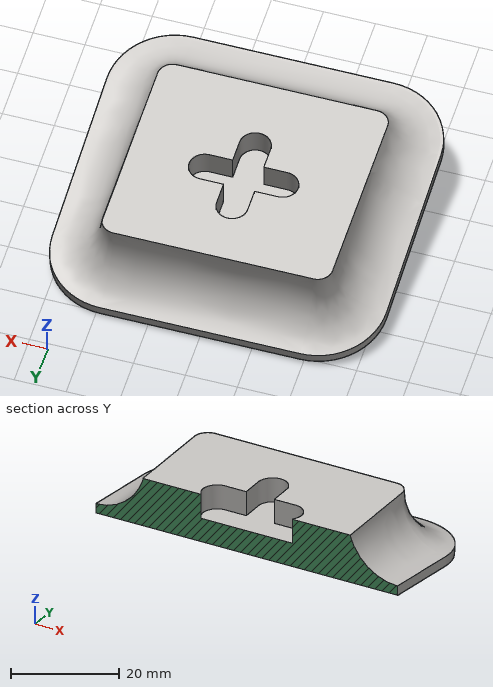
import cadquery as cq
import math

tilt = 6.6
slab_width = 64.35
slab_thickness = 2.0
slab_corner_radius = 12.9
overall_depth = 61.25
overall_height = 13.5

margin = 10.05
cove_radius = 10.55
cove_sections = 6

cross_span = 21.0
cross_arm_width = 6.0
cross_depth = 5.0
cross_offset_y = 2.1

sin_tilt = math.sin(math.radians(tilt))
cos_tilt = math.cos(math.radians(tilt))
slab_length = (overall_depth - slab_thickness * sin_tilt) / cos_tilt
half_width = slab_width / 2
half_length = slab_length / 2
corner_x = half_width - slab_corner_radius
corner_y = half_length - slab_corner_radius
pad_corner_radius = slab_corner_radius - margin
pad_level = overall_height - half_length * sin_tilt


def pad_height(y):
    """Height of the pad top above the slab's top face."""
    return (pad_level + y * sin_tilt) / cos_tilt - slab_thickness


def cove_run(height):
    """Distance covered by a cove that meets the slab's top face tangentially."""
    return math.sqrt(height * (2 * cove_radius - height))


def cove_point(station, fraction):
    """Point on the cove arc, from the slab (fraction 0) to the pad edge (fraction 1).

    A station is a corner or side centre (x, y) and its outward direction in degrees.
    The cove has a fixed radius: it ends tangent to the slab, or at the slab edge
    where the slab is too narrow for that.
    """
    x, y, direction = station
    out_x = math.cos(math.radians(direction))
    out_y = math.sin(math.radians(direction))
    top = pad_height(y + pad_corner_radius * out_y)
    run = min(margin, cove_run(top))

    chord = math.hypot(run, top)
    rise = math.sqrt(cove_radius**2 - chord**2 / 4)
    centre_out = run / 2 + rise * top / chord
    centre_up = top / 2 + rise * run / chord
    start = math.atan2(-centre_up, run - centre_out)
    end = math.atan2(top - centre_up, -centre_out)
    sweep = (end - start) % (2 * math.pi) - 2 * math.pi
    angle = start + fraction * sweep

    out = pad_corner_radius + centre_out + cove_radius * math.cos(angle)
    return cq.Vector(x + out * out_x, y + out * out_y, centre_up + cove_radius * math.sin(angle))


def tangent_limit():
    """Y position on the sides where the tangent cove just reaches the slab edge."""
    height = cove_radius - math.sqrt(cove_radius**2 - margin**2)
    return ((height + slab_thickness) * cos_tilt - pad_level) / sin_tilt


def cove_section(fraction):
    """Closed loop around the cove at one fraction of its arc."""
    split_y = tangent_limit()

    def line(start, end):
        return cq.Edge.makeLine(cove_point(start, fraction), cove_point(end, fraction))

    def corner(x, y, direction):
        stations = [(x, y, direction + turn) for turn in (0, 45, 90)]
        return cq.Edge.makeThreePointArc(*[cove_point(station, fraction) for station in stations])

    edges = [
        line((-corner_x, -corner_y, 270), (corner_x, -corner_y, 270)),
        corner(corner_x, -corner_y, 270),
        line((corner_x, -corner_y, 0), (corner_x, split_y, 0)),
        line((corner_x, split_y, 0), (corner_x, corner_y, 0)),
        corner(corner_x, corner_y, 0),
        line((corner_x, corner_y, 90), (-corner_x, corner_y, 90)),
        corner(-corner_x, corner_y, 90),
        line((-corner_x, corner_y, 180), (-corner_x, split_y, 180)),
        line((-corner_x, split_y, 180), (-corner_x, -corner_y, 180)),
        corner(-corner_x, -corner_y, 180),
    ]
    return cq.Wire.assembleEdges(edges)


def make_slab():
    slab = cq.Workplane("XY").rect(slab_width, slab_length).extrude(-slab_thickness)
    return slab.edges("|Z").fillet(slab_corner_radius)


def make_pad():
    sections = [cove_section(step / cove_sections) for step in range(cove_sections + 1)]
    return cq.Workplane(obj=cq.Solid.makeLoft(sections))


def make_cross():
    """Cutter for the pocket, upright and open at the pad top."""
    floor = cq.Workplane("XY", origin=(0, cross_offset_y, pad_level - cross_depth))
    bar_x = floor.slot2D(cross_span, cross_arm_width).extrude(cross_depth)
    bar_y = floor.slot2D(cross_span, cross_arm_width, angle=90).extrude(cross_depth)
    return bar_x.union(bar_y)


flat_body = make_slab().union(make_pad()).translate((0, 0, slab_thickness))
body = flat_body.rotate((0, 0, 0), (1, 0, 0), -tilt)
result = body.cut(make_cross()).solids()